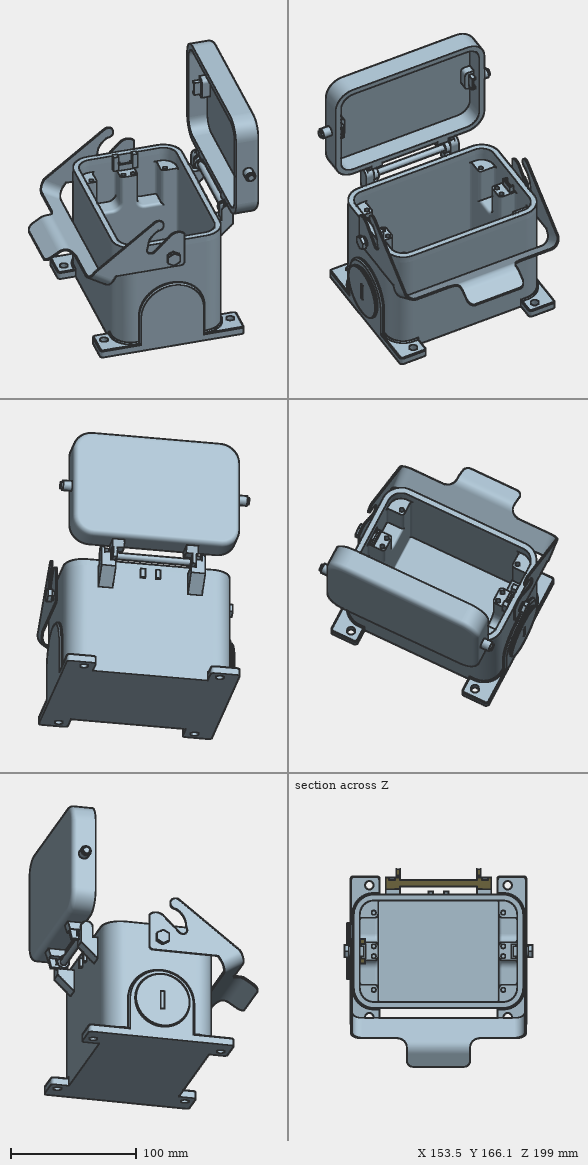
import cadquery as cq
import math


BODY_X = 135.5
BODY_Y = 91.0
BODY_TOP = 99.0
RIM_Z = 93.3
RIM_DRAFT = 1.5
CORNER_R = 16.1
WALL = 5.0
FLOOR = 6.5
HALF_X = BODY_X / 2
HALF_Y = BODY_Y / 2
CAVITY_X = HALF_X - WALL
CAVITY_Y = HALF_Y - WALL

FOOT_OUT_X = 70.5
FOOT_IN_X = 46.8
FOOT_Y = 120.0
FOOT_H = 6.5
FOOT_CORNER_R = 2.5
FOOT_EDGE = 0.8
SKIRT = 1.2
SKIRT_LIP = 0.1
FOOT_HOLE_D = 6.5
FOOT_HOLE_X = 55.3
FOOT_HOLE_Y = 52.7

BLOCK_FACE_X = 48.4
BLOCK_TOP = 86.8
BLOCK_BITE = 0.2
POCKET_IN_Y = 7.2
POCKET_OUT_Y = 26.9
POCKET_FLOOR = 55.5
POCKET_R = 6.5
POST_EDGE_R = 2.4
TROUGH_R = 1.5
SCREW_D = 3.5
SCREW_DEPTH = 16.0
SCREW_X = 51.7
SCREW_YS = (30.8, 4.0, -4.0, -30.8)

CLIP_X = 58.1
CLIP_DEPTH = 3.5
CLIP_LENGTH = 11.5
CLIP_SHEET = 1.5
CLIP_H = 5.5
TAB_X = 4.2
TAB_Y = 4.0
TAB_CENTER_Y = 8.0
TAB_TOP = 99.9

ENTRY_Z = 32.2
ENTRY_R = 27.5
ENTRY_CHAMFER = 1.4
PLUG_D = 45.2
PLUG_NECK_D = 43.0
PLUG_FACE_X = 73.5
PLUG_HEAD = 1.8
PLUG_CHAMFER = 0.5
PLUG_SLOT_W = 3.0
PLUG_SLOT_L = 15.1
PLUG_SLOT_DEPTH = 1.0

LID_TOP = 199.0
LID_H = 91.3
LID_BOTTOM = LID_TOP - LID_H
LID_MID_Z = LID_TOP - LID_H / 2
LID_BACK_Y = 73.6
LID_FRONT_Y = 54.0
LID_SKIN = 4.2
LID_BACK_R = 4.2
LID_FLOOR_Y = LID_BACK_Y - LID_SKIN
LID_PIN_D = 8.2
LID_PIN_Y = 63.9
LID_PIN_SHOULDER_X = 75.0
LID_PIN_SPAN = 153.5
LID_PIN_TIP_D = 5.5
PAD_X = 54.7
PAD_H = 17.3
PAD_FRONT_Y = 62.7
PAD_R = 2.8

HINGE_Y = 54.3
HINGE_Z = 101.7
HINGE_R = 4.8
ROD_Z = 99.3
ROD_R = 2.8
BRACKET_OUT_X = 42.2
BRACKET_IN_X = 30.6
BRACKET_PLATE = 2.5
RECESS_R = 4.4
RECESS_SHIFT = 1.5
BRACKET_HEEL_Z = 88.2
BRACKET_FOOT_Z = 75.2
LUG_OUT_X = 34.8
LUG_IN_X = 25.3
LUG_BACK_Y = 68.3
LUG_FRONT_Z = 104.5
STOP_OUT_X = 33.8
STOP_TOP_Z = 101.5
STOP_BOTTOM_Z = 94.0
STOP_BACK_Y = 66.3
STOP_FOOT_Y = 64.5
STOP_FRONT_Y = 60.5
STOP_HOOK_Y = 57.7
STOP_HOOK_Z = 96.5
RIB_X = 6.2
RIB_W = 3.8
RIB_DEPTH = 2.4

BAIL_OUT_X = 70.2
BAIL_SHEET = 1.3
BAIL_BEND_R = 9.2
BAIL_TILT = math.radians(32.3)
STRIP_W = 18.7
STRIP_LOW_Y = -54.0
STRIP_LOW_Z = 65.0
ARM_BACK_Y = 10.1
ARM_BOTTOM_Z = 76.2
ARM_CORNER_R = 3.2
NOSE_BACK = (ARM_BACK_Y, 105.9)
NOSE_CREST = (4.2, 108.5)
NOSE_FRONT = (-1.8, 105.9)
HOOK_ENTRY_LOW = (-14.7, 93.1)
HOOK_SEAT = (-19.0, 92.3)
HOOK_SEAT_END = (-21.3, 95.5)
HOOK_WALL_TOP = (-20.3, 99.9)
HOOK_CURVE = (-18.3, 106.9)
TIP_Y = -11.7
TIP_Z = 117.6
TIP_R = 4.5
PIVOT_Z = 86.2
PIVOT_D = 8.4
HEAD_D = 11.5
HEAD_IN_X = 71.8
HEAD_OUT_X = 75.2

TONGUE_X = 50.7
TONGUE_END_Y = -92.5
TONGUE_CREST_R = 8.5
TONGUE_LEAD = 2.5
TONGUE_TAIL = 14.0
TONGUE_CORNER_R = 5.2
FLARE = 7.2


def block(x0, x1, y0, y1, z0, z1):
    """Axis-aligned box between two corners."""
    return cq.Workplane("XY").box(x1 - x0, y1 - y0, z1 - z0, centered=False).translate((x0, y0, z0))


def rod_x(radius, x0, x1, y, z):
    """Cylinder along X."""
    return cq.Workplane("YZ", origin=(x0, 0, 0)).center(y, z).circle(radius).extrude(x1 - x0)


def profile_x(points, x0, x1):
    """Polygon of (Y, Z) points extruded along X."""
    return cq.Workplane("YZ", origin=(x0, 0, 0)).polyline(points).close().extrude(x1 - x0)


def both_ends(shape):
    """The shape together with its mirror image in the YZ plane."""
    return shape.union(shape.mirror("YZ"))


def make_shell():
    """Open box with rounded corners, whose rim band thins slightly towards the top."""
    rim_h = BODY_TOP - RIM_Z
    outer = block(-HALF_X, HALF_X, -HALF_Y, HALF_Y, 0, RIM_Z).edges("|Z").fillet(CORNER_R)
    outer = outer.faces(">Z").wires().toPending().extrude(rim_h, taper=RIM_DRAFT)
    cavity = block(-CAVITY_X, CAVITY_X, -CAVITY_Y, CAVITY_Y, FLOOR, RIM_Z)
    cavity = cavity.edges("|Z").fillet(CORNER_R - WALL)
    cavity = cavity.faces(">Z").wires().toPending().extrude(rim_h, taper=-RIM_DRAFT)
    return outer.cut(cavity)


def make_foot():
    """Base strip at the +X end, with a bevelled skirt where the body stands on it."""
    half_y = FOOT_Y / 2
    foot = block(FOOT_IN_X, FOOT_OUT_X, -half_y, half_y, 0, FOOT_H)
    foot = foot.edges("|Z").fillet(FOOT_CORNER_R).faces(">Z").edges().chamfer(FOOT_EDGE)
    skirt = block(-HALF_X - SKIRT, HALF_X + SKIRT, -HALF_Y - SKIRT, HALF_Y + SKIRT, 0, FOOT_H + SKIRT)
    skirt = skirt.edges("|Z").fillet(CORNER_R + SKIRT).faces(">Z").edges().chamfer(SKIRT - SKIRT_LIP)
    skirt = skirt.intersect(block(FOOT_IN_X, FOOT_OUT_X, -half_y, half_y, 0, BODY_TOP))
    holes = (
        cq.Workplane("XY")
        .pushPoints([(FOOT_HOLE_X, FOOT_HOLE_Y), (FOOT_HOLE_X, -FOOT_HOLE_Y)])
        .circle(FOOT_HOLE_D / 2)
        .extrude(FOOT_H + SKIRT)
    )
    foot = foot.union(skirt).cut(holes)
    inside = block(0, CAVITY_X, -CAVITY_Y, CAVITY_Y, FLOOR, BODY_TOP)
    return foot.cut(inside)


def make_end_block():
    """Block at the +X end with two pockets that leave three posts."""
    far_x = CAVITY_X + BLOCK_BITE
    far_y = CAVITY_Y + BLOCK_BITE
    solid = block(BLOCK_FACE_X, far_x, -far_y, far_y, 0, BLOCK_TOP)
    pocket = block(BLOCK_FACE_X, CAVITY_X, POCKET_IN_Y, POCKET_OUT_Y, POCKET_FLOOR, BLOCK_TOP)
    swept = pocket.edges("|X and <Y and <Z").fillet(POCKET_R)
    pocket = pocket.edges("|Z and >X").fillet(TROUGH_R).intersect(swept)
    solid = solid.cut(pocket).cut(pocket.mirror("XZ"))
    pocket_mouth = cq.selectors.BoxSelector(
        (BLOCK_FACE_X - BLOCK_BITE, -POCKET_OUT_Y - BLOCK_BITE, POCKET_FLOOR - BLOCK_BITE),
        (BLOCK_FACE_X + BLOCK_BITE, POCKET_OUT_Y + BLOCK_BITE, BLOCK_TOP - BLOCK_BITE),
    )
    solid = solid.edges(pocket_mouth).fillet(POST_EDGE_R)
    holes = (
        cq.Workplane("XY", origin=(0, 0, BLOCK_TOP - SCREW_DEPTH))
        .pushPoints([(SCREW_X, y) for y in SCREW_YS])
        .circle(SCREW_D / 2)
        .extrude(SCREW_DEPTH)
    )
    return solid.cut(holes)


def make_trough_corners():
    """Concave roundings where the end blocks meet the floor and the long walls."""
    room = block(-BLOCK_FACE_X, BLOCK_FACE_X, -CAVITY_Y, CAVITY_Y, FLOOR, BLOCK_TOP)
    rounded = room.edges("|Z or (|Y and <Z)").fillet(TROUGH_R)
    return room.cut(rounded)


def make_clip():
    """C-shaped clip at the +X end, open towards the end wall and standing up along Z from 0."""
    half = CLIP_LENGTH / 2
    clip = block(CLIP_X, CLIP_X + CLIP_DEPTH, -half, half, 0, CLIP_H)
    gap = half - CLIP_SHEET
    return clip.cut(block(CLIP_X + CLIP_SHEET, CLIP_X + CLIP_DEPTH, -gap, gap, 0, CLIP_H))


def make_wall_tab(y):
    """Small upright tab on the inner face of the -X wall."""
    return block(-CAVITY_X, TAB_X - CAVITY_X, y - TAB_Y / 2, y + TAB_Y / 2, BLOCK_TOP, TAB_TOP)


def make_entry():
    """Arched cable-entry boss on the +X end, rising from the foot."""
    arch = block(CAVITY_X, FOOT_OUT_X, -ENTRY_R, ENTRY_R, 0, ENTRY_Z)
    arch = arch.union(rod_x(ENTRY_R, CAVITY_X, FOOT_OUT_X, 0, ENTRY_Z)).clean()
    return arch.faces(">X").edges("not <Z").chamfer(ENTRY_CHAMFER)


def make_plug():
    """Slotted blanking plug in the cable entry of the -X end."""
    plug = rod_x(PLUG_NECK_D / 2, -PLUG_FACE_X, -HALF_X, 0, ENTRY_Z)
    head = rod_x(PLUG_D / 2, -PLUG_FACE_X, PLUG_HEAD - PLUG_FACE_X, 0, ENTRY_Z)
    plug = plug.union(head.faces("<X").edges().chamfer(PLUG_CHAMFER))
    half_w = PLUG_SLOT_W / 2
    half_l = PLUG_SLOT_L / 2
    slot_end_x = PLUG_SLOT_DEPTH - PLUG_FACE_X
    slot = block(-PLUG_FACE_X, slot_end_x, -half_w, half_w, ENTRY_Z - half_l, ENTRY_Z + half_l)
    return plug.cut(slot)


def make_lid():
    """Shallow tray standing upright, open towards -Y, with a rounded back edge."""
    lid = block(-HALF_X, HALF_X, LID_FRONT_Y, LID_BACK_Y, LID_BOTTOM, LID_TOP)
    lid = lid.edges("|Y").fillet(CORNER_R).faces(">Y").edges().fillet(LID_BACK_R)
    hollow = block(
        -CAVITY_X, CAVITY_X, LID_FRONT_Y, LID_FLOOR_Y, LID_BOTTOM + WALL, LID_TOP - WALL
    )
    return lid.cut(hollow.edges("|Y").fillet(CORNER_R - WALL))


def make_lid_fittings():
    """Locking pin, inner pad and contact clip at the +X side of the lid."""
    pin = rod_x(LID_PIN_D / 2, CAVITY_X, LID_PIN_SHOULDER_X, LID_PIN_Y, LID_MID_Z)
    tip = rod_x(LID_PIN_TIP_D / 2, CAVITY_X, LID_PIN_SPAN / 2, LID_PIN_Y, LID_MID_Z)
    half_h = PAD_H / 2
    pad = block(PAD_X, CAVITY_X, PAD_FRONT_Y, LID_FLOOR_Y, LID_MID_Z - half_h, LID_MID_Z + half_h)
    pad = pad.edges("|Y and <X").fillet(PAD_R)
    clip = make_clip().rotate((0, 0, 0), (1, 0, 0), 90).translate((0, PAD_FRONT_Y, LID_MID_Z))
    return pin.union(tip).union(pad).union(clip)


def make_hinge_bracket():
    """Bracket on the back wall at the +X side, recessed on its inner side around the hinge rod."""
    back = HINGE_Y + HINGE_R
    front = HINGE_Y - HINGE_R
    wall_y = HALF_Y - WALL / 2
    slope_z = BRACKET_FOOT_Z - WALL / 2
    shelf = profile_x(
        [(wall_y, slope_z), (back, BRACKET_HEEL_Z), (back, RIM_Z), (wall_y, RIM_Z)],
        BRACKET_IN_X,
        BRACKET_OUT_X,
    )
    upright = block(LUG_OUT_X, BRACKET_OUT_X, front, back, RIM_Z, HINGE_Z)
    upright = upright.union(rod_x(HINGE_R, LUG_OUT_X, BRACKET_OUT_X, HINGE_Y, HINGE_Z))
    recess_end = BRACKET_OUT_X - BRACKET_PLATE
    recess_y = HINGE_Y + RECESS_SHIFT
    recess = rod_x(RECESS_R, LUG_OUT_X, recess_end, recess_y, HINGE_Z + RECESS_SHIFT)
    return shelf.union(upright.cut(recess))


def make_hinge_lug():
    """Lug under the lid at the +X side, with a knuckle on the rod and a hooked stop behind it."""
    root_z = LID_BOTTOM + WALL / 2
    lug = profile_x(
        [
            (LID_FRONT_Y, root_z),
            (LID_FRONT_Y, LUG_FRONT_Z),
            (STOP_HOOK_Y, STOP_TOP_Z),
            (STOP_BACK_Y, STOP_TOP_Z),
            (LUG_BACK_Y, LID_BOTTOM),
            (LUG_BACK_Y, root_z),
        ],
        LUG_IN_X,
        LUG_OUT_X,
    )
    stop = profile_x(
        [
            (STOP_FRONT_Y, STOP_TOP_Z),
            (STOP_FRONT_Y, STOP_HOOK_Z),
            (STOP_HOOK_Y, STOP_HOOK_Z),
            (STOP_HOOK_Y, STOP_BOTTOM_Z),
            (STOP_FOOT_Y, STOP_BOTTOM_Z),
            (STOP_BACK_Y, STOP_TOP_Z),
        ],
        BRACKET_IN_X,
        STOP_OUT_X,
    )
    knuckle = rod_x(HINGE_R, BRACKET_IN_X, LUG_OUT_X, HINGE_Y, ROD_Z)
    return lug.union(stop).union(knuckle)


def make_rib():
    """Small rib on the back wall beside the middle, +X side."""
    half_w = RIB_W / 2
    return block(
        RIB_X - half_w, RIB_X + half_w, HALF_Y - WALL / 2, HALF_Y + RIB_DEPTH, PIVOT_Z, RIM_Z
    )


ALONG = (-math.cos(BAIL_TILT), math.sin(BAIL_TILT))
INWARD = (math.sin(BAIL_TILT), math.cos(BAIL_TILT))
STRIP_LOW = (STRIP_LOW_Y, STRIP_LOW_Z)


def step(start, along=0.0, inward=0.0):
    """Point reached from start by moving along the strip and square to it."""
    y = start[0] + along * ALONG[0] + inward * INWARD[0]
    z = start[1] + along * ALONG[1] + inward * INWARD[1]
    return (y, z)


def make_bail_arm():
    """Flat arm at the +X end: cam nose, hooked slot for the lid pin, and long upper finger."""
    bend_low = step(STRIP_LOW, inward=BAIL_BEND_R)
    bend_high = step(bend_low, along=STRIP_W)
    heel = step(bend_low, inward=(ARM_BOTTOM_Z - bend_low[1]) / INWARD[1])
    slope = math.atan2(TIP_Z - bend_high[1], TIP_Y - bend_high[0])
    slope += math.asin(TIP_R / math.hypot(TIP_Z - bend_high[1], TIP_Y - bend_high[0]))
    tip_top = (TIP_Y - TIP_R * math.sin(slope), TIP_Z + TIP_R * math.cos(slope))
    tip_low = (TIP_Y, TIP_Z - TIP_R)
    arm = (
        cq.Workplane("YZ", origin=(BAIL_OUT_X - BAIL_SHEET, 0, 0))
        .moveTo(ARM_BACK_Y, ARM_BOTTOM_Z)
        .lineTo(*NOSE_BACK)
        .threePointArc(NOSE_CREST, NOSE_FRONT)
        .lineTo(*HOOK_ENTRY_LOW)
        .threePointArc(HOOK_SEAT, HOOK_SEAT_END)
        .lineTo(*HOOK_WALL_TOP)
        .threePointArc(HOOK_CURVE, tip_low)
        .threePointArc((TIP_Y + TIP_R, TIP_Z), tip_top)
        .lineTo(*bend_high)
        .lineTo(*bend_low)
        .lineTo(*heel)
        .close()
        .extrude(BAIL_SHEET)
    )
    return arm.faces(">Y").edges("<Z").fillet(ARM_CORNER_R)


def make_bail_strip():
    """Cross strip with a rounded bend at each end."""
    plane = cq.Plane(
        origin=(0, STRIP_LOW_Y, STRIP_LOW_Z), xDir=(1, 0, 0), normal=(0, ALONG[0], ALONG[1])
    )

    def slab(inset):
        half = BAIL_OUT_X - inset
        bend = BAIL_BEND_R - inset
        return (
            cq.Workplane(plane)
            .moveTo(-half, BAIL_BEND_R)
            .radiusArc((-half + bend, inset), -bend)
            .lineTo(half - bend, inset)
            .radiusArc((half, BAIL_BEND_R), -bend)
            .close()
            .extrude(STRIP_W)
        )

    return slab(0).cut(slab(BAIL_SHEET))


def make_tongue():
    """Curved finger tongue continuing the strip, with flared root and rounded end corners."""
    root = step(STRIP_LOW, along=STRIP_W)
    overlap = step(root, along=-BAIL_SHEET)
    crest_start = step(root, along=TONGUE_LEAD)
    center = step(crest_start, inward=-TONGUE_CREST_R)
    crest_outer_r = TONGUE_CREST_R + BAIL_SHEET

    def falling(radius, length):
        y = center[0] - radius * INWARD[0] + length * ALONG[0]
        z = center[1] + radius * INWARD[1] - length * ALONG[1]
        return (y, z)

    sheet = (
        cq.Workplane("YZ", origin=(-TONGUE_X, 0, 0))
        .moveTo(*overlap)
        .lineTo(*crest_start)
        .threePointArc((center[0], center[1] + TONGUE_CREST_R), falling(TONGUE_CREST_R, 0))
        .lineTo(*falling(TONGUE_CREST_R, TONGUE_TAIL))
        .lineTo(*falling(crest_outer_r, TONGUE_TAIL))
        .lineTo(*falling(crest_outer_r, 0))
        .threePointArc((center[0], center[1] + crest_outer_r), step(crest_start, inward=BAIL_SHEET))
        .lineTo(*step(overlap, inward=BAIL_SHEET))
        .close()
        .extrude(2 * TONGUE_X)
    )
    half = TONGUE_X / 2
    root_y = root[0]
    outline = block(-half, half, TONGUE_END_Y, root_y + BAIL_SHEET, 0, LID_TOP)
    outline = outline.edges("|Z and <Y").fillet(TONGUE_CORNER_R)
    wide = half + FLARE
    flare = block(-wide, wide, root_y - FLARE, root_y + BAIL_SHEET, 0, LID_TOP)
    for side in (-1, 1):
        flare = flare.cut(
            cq.Workplane("XY").center(side * wide, root_y - FLARE).circle(FLARE).extrude(LID_TOP)
        )
    return sheet.intersect(outline.union(flare))


def make_pivot():
    """Hex-headed pivot screw holding the bail at the +X end."""
    shaft = rod_x(PIVOT_D / 2, CAVITY_X + WALL / 2, HEAD_IN_X, 0, PIVOT_Z)
    head = (
        cq.Workplane("YZ", origin=(HEAD_IN_X, 0, PIVOT_Z))
        .transformed(rotate=(0, 0, 90))
        .polygon(6, HEAD_D)
        .extrude(HEAD_OUT_X - HEAD_IN_X)
    )
    return shaft.union(head)


housing = make_shell()
housing = housing.union(both_ends(make_foot())).union(both_ends(make_end_block()))
housing = housing.union(make_trough_corners()).union(both_ends(make_entry())).union(make_plug())
housing = housing.union(both_ends(make_clip().translate((0, 0, BLOCK_TOP))))
for tab_y in (-TAB_CENTER_Y, TAB_CENTER_Y):
    housing = housing.union(make_wall_tab(tab_y))
housing = housing.union(both_ends(make_hinge_bracket())).union(both_ends(make_rib()))

lid_group = make_lid().union(both_ends(make_lid_fittings())).union(both_ends(make_hinge_lug()))
hinge_rod = rod_x(ROD_R, -BRACKET_OUT_X, BRACKET_OUT_X, HINGE_Y, ROD_Z)

bail = both_ends(make_bail_arm().union(make_pivot()))
bail = bail.union(make_bail_strip()).union(make_tongue())

result = housing.union(hinge_rod).union(lid_group).union(bail)